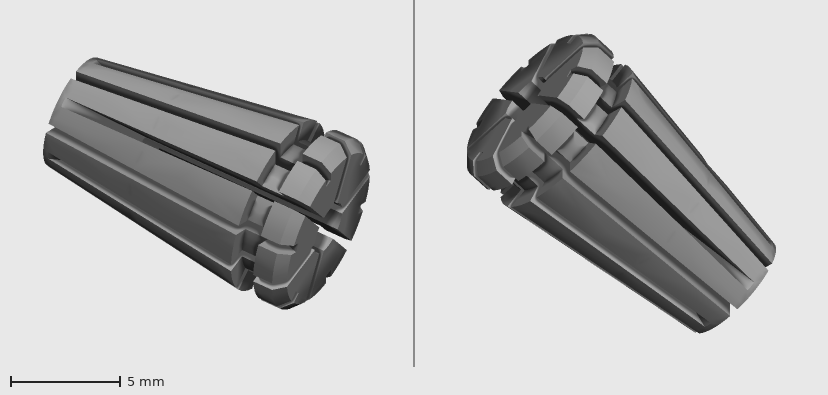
import cadquery as cq
import math

length = 13.5
outer_radius = 4.25
bore_radius = 1.25

taper_length = 10.83
taper_angle = 8.0
nose_radius = outer_radius - taper_length * math.tan(math.radians(taper_angle))

groove_radius = 3.25
flange_start = 12.0
flange_chamfer = 0.5

slot_width = 0.47
slots_per_end = 6
slot_pitch = 360.0 / slots_per_end
cut_margin = 0.68
cut_radius = outer_radius + cut_margin

front_floor_start = 9.2
front_floor_radius = 21.6

rear_floor_start = 4.08
rear_floor_angle = 22.0

floor_depth = math.sqrt(bore_radius**2 - (slot_width / 2) ** 2)


def collet_body():
    """Revolved collet with its bore, groove and chamfered flange."""
    return (
        cq.Workplane("XY")
        .moveTo(0, bore_radius)
        .lineTo(0, nose_radius)
        .lineTo(taper_length, outer_radius)
        .lineTo(taper_length, groove_radius)
        .lineTo(flange_start, groove_radius)
        .lineTo(flange_start, outer_radius)
        .lineTo(length - flange_chamfer, outer_radius)
        .lineTo(length, outer_radius - flange_chamfer)
        .lineTo(length, bore_radius)
        .close()
        .revolve(360, (0, 0, 0), (1, 0, 0))
    )


def front_slot():
    """Cutter standing on +Z, open at the small end, with an arc floor."""
    return (
        cq.Workplane("XZ")
        .moveTo(-cut_margin, 0)
        .lineTo(front_floor_start, 0)
        .lineTo(front_floor_start, floor_depth)
        .radiusArc((length, groove_radius), -front_floor_radius)
        .lineTo(length + cut_margin, groove_radius)
        .lineTo(length + cut_margin, cut_radius)
        .lineTo(-cut_margin, cut_radius)
        .close()
        .extrude(slot_width / 2, both=True)
    )


def rear_slot():
    """Cutter standing on +Z, open at the flanged end, with a ramp floor."""
    ramp_run = (cut_radius - floor_depth) / math.tan(math.radians(rear_floor_angle))
    return (
        cq.Workplane("XZ")
        .moveTo(length + cut_margin, 0)
        .lineTo(rear_floor_start, 0)
        .lineTo(rear_floor_start, floor_depth)
        .lineTo(rear_floor_start - ramp_run, cut_radius)
        .lineTo(length + cut_margin, cut_radius)
        .close()
        .extrude(slot_width / 2, both=True)
    )


def turned(cutter, angle):
    """Copy of a cutter turned about the collet axis."""
    return cutter.rotate((0, 0, 0), (1, 0, 0), angle)


result = collet_body()
for index in range(slots_per_end):
    angle = index * slot_pitch
    result = result.cut(turned(front_slot(), angle))
    result = result.cut(turned(rear_slot(), angle + slot_pitch / 2))